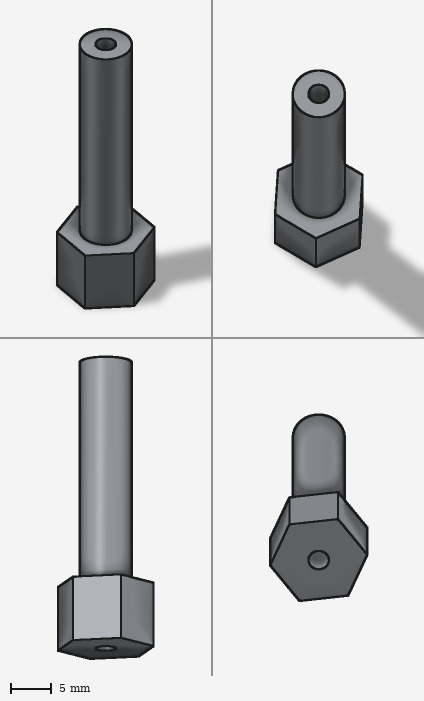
import cadquery as cq
import math

total_height = 36.0
head_height = 8.0
across_flats = 10.4
shank_diameter = 6.4
bore_diameter = 2.5

across_corners = across_flats / math.cos(math.radians(30))
head = (
    cq.Workplane("XY")
    .transformed(rotate=(0, 0, 90))
    .polygon(6, across_corners)
    .extrude(head_height)
)

shank = cq.Workplane("XY").circle(shank_diameter / 2).extrude(total_height)
bore = cq.Workplane("XY").circle(bore_diameter / 2).extrude(total_height)

result = head.union(shank).cut(bore)